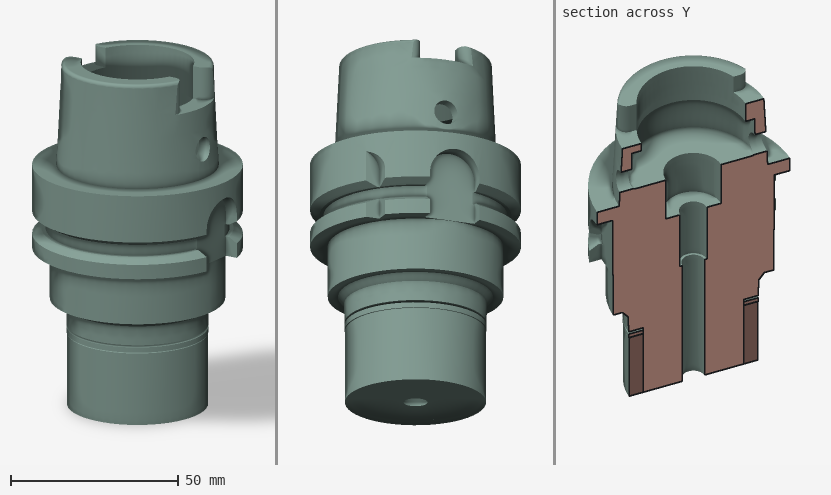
import cadquery as cq
import math


shank_top_z = 32.0
groove_upper_z = -14.5
groove_lower_z = -21.5
flange_bottom_z = -26.0
body_bottom_z = -41.8
nose_bevel_z = -44.0
nose_bottom_z = -50.0
ring_top_z = -50.7
nut_top_z = -52.3
nut_bottom_z = -75.0

taper_base_radius = 24.32
taper_top_radius = 22.75
shank_rim_fillet = 1.2
shank_bore_radius = 17.0
undercut_radius = 20.0
undercut_top_z = 18.9
undercut_floor_z = 5.0
undercut_fillet = 1.0
cross_hole_diameter = 7.5
cross_hole_z = 9.0

notch_width = 12.5
notch_corner_radius = 2.9
notch_mouth_x = 20.8
notch_floor_left_z = 25.9
notch_floor_right_z = 21.9

flange_radius = 31.5
groove_floor_radius = 27.5
groove_flank_radius = 28.7
groove_flank_angle = 30.0

key_slot_width = 16.0
key_slot_top_z = -5.0
key_slot_floor_x = 26.5
corner_notch_wall = 20.0
corner_notch_radius = 6.5
corner_notch_top_z = -5.0

body_radius = 26.25
nose_bevel_top_radius = 23.2
nose_top_radius = 21.4
nose_bottom_radius = 21.2
neck_radius = 16.5

tube_recess_radius = 9.0
tube_recess_floor_z = -10.0
screw_hole_radius = 4.35
screw_hole_floor_z = -30.0
through_hole_radius = 3.6

ring_radius = 21.2
nut_radius = 21.1
nut_bevel = 0.3


def holder_blank():
    """Solid of revolution with the whole outside shape of the holder."""
    flank_height = (flange_radius - groove_flank_radius) * math.tan(math.radians(groove_flank_angle))
    groove_top_z = groove_upper_z - flank_height
    groove_bottom_z = groove_lower_z + flank_height
    outline = [
        (0, shank_top_z),
        (taper_top_radius, shank_top_z),
        (taper_base_radius, 0),
        (flange_radius, 0),
        (flange_radius, groove_upper_z),
        (groove_flank_radius, groove_top_z),
        (groove_floor_radius, groove_top_z),
        (groove_floor_radius, groove_bottom_z),
        (groove_flank_radius, groove_bottom_z),
        (flange_radius, groove_lower_z),
        (flange_radius, flange_bottom_z),
        (body_radius, flange_bottom_z),
        (body_radius, body_bottom_z),
        (nose_bevel_top_radius, body_bottom_z),
        (nose_top_radius, nose_bevel_z),
        (nose_bottom_radius, nose_bottom_z),
        (neck_radius, nose_bottom_z),
        (neck_radius, nut_bottom_z),
        (0, nut_bottom_z),
    ]
    blank = cq.Workplane("XZ").polyline(outline).close().revolve(360, (0, 0, 0), (0, 1, 0))
    return blank.faces(">Z").edges().fillet(shank_rim_fillet)


def disc(radius, bottom_z, top_z):
    return cq.Workplane("XY").workplane(offset=bottom_z).circle(radius).extrude(top_z - bottom_z)


def axial_bore():
    """Shank bore, undercut chamber, tube recess, screw hole and through hole as one cutter."""
    chamber = disc(undercut_radius, undercut_floor_z, undercut_top_z)
    chamber = chamber.faces("<Z").edges().fillet(undercut_fillet)
    shank_bore = disc(shank_bore_radius, undercut_floor_z, shank_top_z)
    tube_recess = disc(tube_recess_radius, tube_recess_floor_z, undercut_floor_z)
    screw_hole = disc(screw_hole_radius, screw_hole_floor_z, tube_recess_floor_z)
    through_hole = disc(through_hole_radius, nut_bottom_z, screw_hole_floor_z)
    return chamber.union(shank_bore).union(tube_recess).union(screw_hole).union(through_hole)


def drive_notch(side, floor_z):
    """Notch on the +X (side = 1) or -X (side = -1) wall, its mouth flared by two convex arcs."""
    half_width = notch_width / 2
    arc_start_x = notch_mouth_x - notch_corner_radius
    mouth_half_width = half_width + notch_corner_radius
    bend = notch_corner_radius * math.sqrt(0.5)
    bend_x = arc_start_x + bend
    bend_y = mouth_half_width - bend
    outer_x = taper_base_radius
    return (
        cq.Workplane("XY").workplane(offset=floor_z)
        .moveTo(0, -half_width)
        .lineTo(side * arc_start_x, -half_width)
        .threePointArc((side * bend_x, -bend_y), (side * notch_mouth_x, -mouth_half_width))
        .lineTo(side * notch_mouth_x, -outer_x)
        .lineTo(side * outer_x, -outer_x)
        .lineTo(side * outer_x, outer_x)
        .lineTo(side * notch_mouth_x, outer_x)
        .lineTo(side * notch_mouth_x, mouth_half_width)
        .threePointArc((side * bend_x, bend_y), (side * arc_start_x, half_width))
        .lineTo(0, half_width)
        .close()
        .extrude(shank_top_z - floor_z)
    )


def round_top_slot(centre_y, radius, top_z, inner_x, outer_x):
    """Slot cutter along X with a round top, open through the bottom of the flange."""
    centre_z = top_z - radius
    return (
        cq.Workplane("YZ").workplane(offset=inner_x)
        .moveTo(centre_y - radius, flange_bottom_z)
        .lineTo(centre_y - radius, centre_z)
        .threePointArc((centre_y, top_z), (centre_y + radius, centre_z))
        .lineTo(centre_y + radius, flange_bottom_z)
        .close()
        .extrude(outer_x - inner_x)
    )


def key_slot(side):
    return round_top_slot(0, key_slot_width / 2, key_slot_top_z, side * key_slot_floor_x, side * flange_radius)


def corner_notch():
    centre_y = corner_notch_wall + corner_notch_radius
    return round_top_slot(
        centre_y, corner_notch_radius, corner_notch_top_z, -corner_notch_wall, -flange_radius
    )


def cross_hole():
    reach = taper_base_radius
    return (
        cq.Workplane("YZ").workplane(offset=-reach)
        .center(0, cross_hole_z)
        .circle(cross_hole_diameter / 2)
        .extrude(2 * reach)
    )


def make_holder():
    holder = holder_blank().cut(axial_bore()).cut(cross_hole()).cut(corner_notch())
    for side, floor_z in ((-1, notch_floor_left_z), (1, notch_floor_right_z)):
        holder = holder.cut(drive_notch(side, floor_z)).cut(key_slot(side))
    return holder


def make_ring():
    """Plain ring round the neck, just below the nose."""
    return disc(ring_radius, nut_top_z, ring_top_z).cut(disc(neck_radius, nut_top_z, ring_top_z))


def make_nut():
    """Sleeve nut round the neck, its top rim bevelled against the ring."""
    nut = disc(nut_radius, nut_bottom_z, nut_top_z).faces(">Z").edges().chamfer(nut_bevel)
    return nut.cut(disc(neck_radius, nut_bottom_z, nut_top_z))


holder = make_holder()
ring = make_ring()
nut = make_nut()

result = cq.Compound.makeCompound([holder.val(), ring.val(), nut.val()])